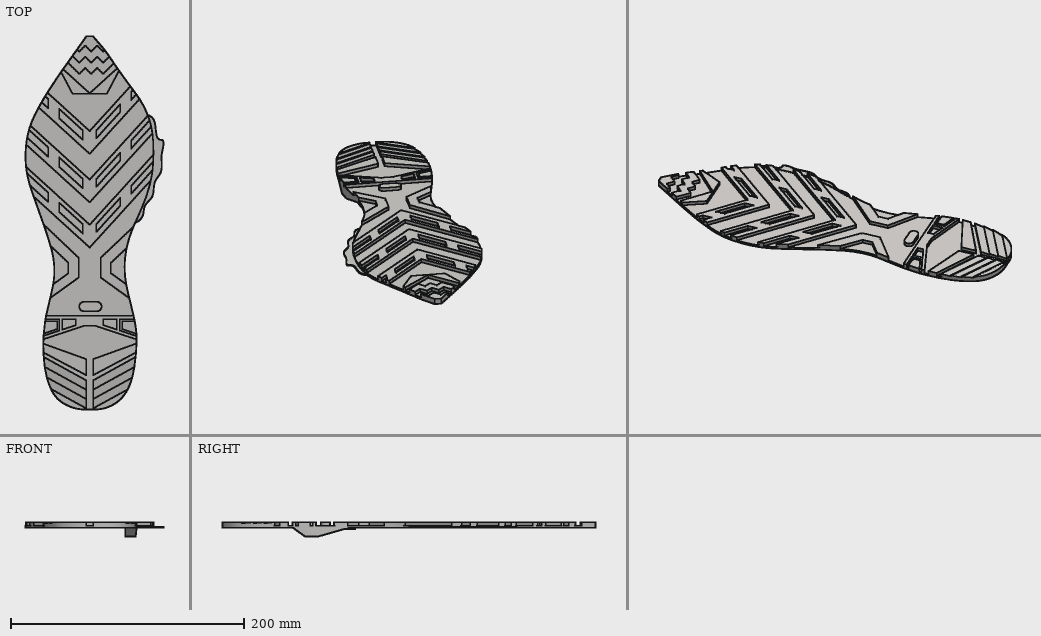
import cadquery as cq


LENGTH = 320.0
OVERALL_HEIGHT = 12.5
PLATE_THICKNESS = 2.0
TREAD_HEIGHT = 3.05
FLAP_THICKNESS = 1.0
SOLE_HEIGHT = PLATE_THICKNESS + TREAD_HEIGHT
FIN_DEPTH = OVERALL_HEIGHT - SOLE_HEIGHT
BEYOND = 64.0
SIDES = (-1, 1)

LEFT_EDGE = [
    (-3.0, LENGTH), (-13.0, 305.2), (-27.5, 285.0), (-42.2, 261.7), (-51.8, 240.5), (-55.0, 220.8), (-54.0, 203.8),
    (-46.5, 178.0), (-36.0, 148.8), (-30.7, 126.5), (-30.7, 111.3), (-35.8, 88.0), (-39.7, 62.0),
    (-39.7, 47.7), (-35.8, 24.3), (-28.0, 10.0), (-16.3, 2.2), (-6.5, 0.0),
]
RIGHT_EDGE = [
    (6.5, 0.0), (16.3, 2.2), (27.5, 10.0), (35.5, 24.3), (39.7, 47.7), (40.3, 62.0), (35.8, 88.0), (30.7, 111.3),
    (30.0, 126.5), (34.5, 148.8), (46.7, 178.0), (53.7, 203.8), (54.7, 220.8), (53.0, 240.5), (45.5, 261.7),
    (28.8, 285.0), (15.0, 305.2), (3.0, LENGTH),
]

FLAP_EDGE = [
    (51.0, 252.0), (56.0, 245.5), (57.3, 235.8), (60.0, 231.3), (62.5, 231.0), (63.5, 228.0), (62.7, 223.3),
    (61.7, 218.2), (61.7, 206.5), (60.5, 202.2), (56.3, 195.8), (53.5, 182.0), (47.5, 174.5), (45.8, 166.7),
    (42.0, 161.5), (38.5, 160.0),
]
FLAP_ROOT_X = 32.0

FIN_INNER_X = 30.5
FIN_LIP = 1.0
FIN_OUTLINE = [
    (116.0, PLATE_THICKNESS), (116.0, -FIN_LIP), (105.0, -FIN_LIP), (82.0, -FIN_DEPTH),
    (71.0, -FIN_DEPTH), (60.5, 0.0), (60.5, PLATE_THICKNESS),
]

ZIGZAG_CENTRE_X = 1.3
ZIGZAG_PITCH = 10.2
ZIGZAG_RISE = 5.0
ZIGZAG_SPACING = 9.5
TOE_LINE_Y = 306.8
TOE_PAD_REAR_Y = 270.7
TOE_PAD_REAR_HALF = 14.7
TOE_PAD_SIDE_SLOPE = 1.9
TOE_V_SLOPE = 0.92
TOE_V_BRIDGE = 0.3

CHEVRON_APEXES = (238.7, 197.0, 158.5)
CHEVRON_WIDTH = 19.5
CHEVRON_SLOPES = {-1: 0.91, 1: 1.1}
WINDOW_DROPS = {-1: 4.8, 1: 5.8}
WINDOW_WIDTHS = {-1: 8.0, 1: 6.7}
INNER_WINDOW = (5.8, 26.2)
OUTER_WINDOW_START = 35.5

WAIST_BAND = (9.3, 130.0, 113.3)
WAIST_TRIANGLE = (18.2, 125.7, 116.8)
WAIST_TOE_SLOPE = 0.95
WAIST_HEEL_SLOPE = 0.72

BOSS_LENGTH = 19.2
BOSS_WIDTH = 8.0
BOSS_CENTRE = (0.5, 88.3)

HEEL_BAND_FRONT_Y = 80.3
HEEL_BAND_REAR_Y = 71.7
HEEL_BAND_FLAT_HALF = 5.0
HEEL_BAND_SLOPE = 0.33
HEEL_BAND_RIM = 3.0
HEEL_WINDOW = (11.8, 23.5)
HEEL_OPENING_START = 26.0
ISLAND_GAP = 2.0

CHANNEL_HALF = 3.0
PAD_FRONT = (43.2, 0.36)
PAD_REAR = (29.5, 0.53)
STRIP_SLOPE = 0.55
STRIP_FRONT_Y = 25.0
STRIP_PITCH = 8.0
STRIP_COUNT = 3
STRIP_DROP = 1.0


def polygon_block(points):
    return cq.Workplane("XY").polyline(points).close().extrude(SOLE_HEIGHT)


def arm_block(side, x_range, front, rear):
    """Block on one side of the spine between two slanted lines, each given as (y at x = 0, slope)."""
    near, far = x_range
    points = [
        (side * near, front[0] + front[1] * near),
        (side * far, front[0] + front[1] * far),
        (side * far, rear[0] + rear[1] * far),
        (side * near, rear[0] + rear[1] * near),
    ]
    return polygon_block(points)


def sole_block(bottom=0.0, top=SOLE_HEIGHT):
    return (
        cq.Workplane("XY")
        .workplane(offset=bottom)
        .moveTo(*LEFT_EDGE[0])
        .spline(LEFT_EDGE[1:], includeCurrent=True)
        .lineTo(*RIGHT_EDGE[0])
        .spline(RIGHT_EDGE[1:], includeCurrent=True)
        .close()
        .extrude(top - bottom)
    )


def zigzag(row):
    """Points of one zigzag line, running on beyond the outline at both ends."""
    valley_y = TOE_LINE_Y - row * ZIGZAG_SPACING
    points = []
    for step in range(-2, 3):
        lift = ZIGZAG_RISE * (step % 2)
        points.append((ZIGZAG_CENTRE_X + step * ZIGZAG_PITCH / 2, valley_y + lift))
    reach = BEYOND - ZIGZAG_PITCH
    run_up = reach * 2 * ZIGZAG_RISE / ZIGZAG_PITCH
    start = (points[0][0] - reach, valley_y + run_up)
    end = (points[-1][0] + reach, valley_y + run_up)
    return [start] + points + [end]


def toe_pads():
    far_y = TOE_LINE_Y + BEYOND
    tip = polygon_block(zigzag(0) + [(BEYOND, far_y), (-BEYOND, far_y)])
    stepped_strip = polygon_block(zigzag(1) + zigzag(2)[::-1])

    corner_x = TOE_PAD_SIDE_SLOPE * TOE_PAD_REAR_HALF / (TOE_PAD_SIDE_SLOPE - TOE_V_SLOPE)
    corner_y = TOE_PAD_REAR_Y + TOE_V_SLOPE * corner_x
    v_pad = polygon_block([
        (0, TOE_PAD_REAR_Y + TOE_V_BRIDGE),
        (corner_x, corner_y),
        (TOE_PAD_REAR_HALF, TOE_PAD_REAR_Y),
        (-TOE_PAD_REAR_HALF, TOE_PAD_REAR_Y),
        (-corner_x, corner_y),
    ])
    return [tip, stepped_strip, v_pad]


def chevron_arm(side, apex_y):
    slope = CHEVRON_SLOPES[side]
    arm = arm_block(side, (0, BEYOND), (apex_y, slope), (apex_y - CHEVRON_WIDTH, slope))
    window_front = apex_y - WINDOW_DROPS[side]
    window_rear = window_front - WINDOW_WIDTHS[side]
    for x_range in (INNER_WINDOW, (OUTER_WINDOW_START, BEYOND)):
        arm = arm.cut(arm_block(side, x_range, (window_front, slope), (window_rear, slope)))
    return arm


def waist_wedge(side, corner):
    """Wedge opening outwards from an upright stretch at x."""
    x, front_y, rear_y = corner
    front = (front_y - WAIST_TOE_SLOPE * x, WAIST_TOE_SLOPE)
    rear = (rear_y + WAIST_HEEL_SLOPE * x, -WAIST_HEEL_SLOPE)
    return arm_block(side, (x, BEYOND), front, rear)


def waist_band(side):
    return waist_wedge(side, WAIST_BAND).cut(waist_wedge(side, WAIST_TRIANGLE))


def boss():
    return cq.Workplane("XY").center(*BOSS_CENTRE).slot2D(BOSS_LENGTH, BOSS_WIDTH).extrude(SOLE_HEIGHT)


def heel_band():
    apex_y = HEEL_BAND_REAR_Y + HEEL_BAND_SLOPE * HEEL_BAND_FLAT_HALF
    rear = (apex_y, -HEEL_BAND_SLOPE)
    window_front = (HEEL_BAND_FRONT_Y - HEEL_BAND_RIM, 0)
    window_rear = (apex_y + HEEL_BAND_RIM, -HEEL_BAND_SLOPE)
    island_front = (window_front[0] - ISLAND_GAP, 0)
    island_rear = (window_rear[0] + ISLAND_GAP, -HEEL_BAND_SLOPE)

    band = polygon_block([
        (-HEEL_BAND_FLAT_HALF, HEEL_BAND_REAR_Y),
        (HEEL_BAND_FLAT_HALF, HEEL_BAND_REAR_Y),
        (HEEL_BAND_FLAT_HALF, HEEL_BAND_FRONT_Y),
        (-HEEL_BAND_FLAT_HALF, HEEL_BAND_FRONT_Y),
    ])
    for side in SIDES:
        band = band.union(arm_block(side, (HEEL_BAND_FLAT_HALF, BEYOND), (HEEL_BAND_FRONT_Y, 0), rear))
        for x_range in (HEEL_WINDOW, (HEEL_OPENING_START, BEYOND)):
            band = band.cut(arm_block(side, x_range, window_front, window_rear))
        island_range = (HEEL_OPENING_START + ISLAND_GAP, BEYOND)
        band = band.union(arm_block(side, island_range, island_front, island_rear))
    return band


def heel_front_pad(side):
    lines = [(y - slope * CHANNEL_HALF, slope) for y, slope in (PAD_FRONT, PAD_REAR)]
    return arm_block(side, (CHANNEL_HALF, BEYOND), *lines)


def heel_strips(side):
    """Sawtooth pad: each strip slopes down towards the heel end and meets the full height of the next."""
    tail_y = STRIP_FRONT_Y - STRIP_COUNT * STRIP_PITCH
    profile = [(tail_y - BEYOND, 0), (STRIP_FRONT_Y, 0)]
    for tooth in range(STRIP_COUNT):
        front_y = STRIP_FRONT_Y - tooth * STRIP_PITCH
        profile.append((front_y, SOLE_HEIGHT))
        profile.append((front_y - STRIP_PITCH, SOLE_HEIGHT - STRIP_DROP))
    profile += [(tail_y, SOLE_HEIGHT), (tail_y - BEYOND, SOLE_HEIGHT)]
    along = cq.Vector(side, STRIP_SLOPE, 0) * BEYOND
    face = cq.Face.makeFromWires(
        cq.Wire.makePolygon([cq.Vector(side * CHANNEL_HALF, y, z) for y, z in profile], close=True)
    )
    return cq.Workplane(cq.Solid.extrudeLinear(face, along))


def flap():
    return (
        cq.Workplane("XY")
        .moveTo(*FLAP_EDGE[0])
        .spline(FLAP_EDGE[1:], includeCurrent=True)
        .lineTo(FLAP_ROOT_X, FLAP_EDGE[-1][1])
        .lineTo(FLAP_ROOT_X, FLAP_EDGE[0][1])
        .close()
        .extrude(FLAP_THICKNESS)
    )


def fin():
    blade = (
        cq.Workplane("YZ")
        .workplane(offset=FIN_INNER_X)
        .polyline(FIN_OUTLINE)
        .close()
        .extrude(BEYOND)
    )
    return blade.intersect(sole_block(-FIN_DEPTH, PLATE_THICKNESS))


treads = toe_pads() + [boss(), heel_band()]
for side in SIDES:
    treads += [chevron_arm(side, apex_y) for apex_y in CHEVRON_APEXES]
    treads += [waist_band(side), heel_front_pad(side), heel_strips(side)]

pattern = cq.Workplane("XY").box(2 * BEYOND, 3 * LENGTH, PLATE_THICKNESS, centered=(True, True, False))
for tread in treads:
    pattern = pattern.union(tread)

result = sole_block().intersect(pattern).union(flap()).union(fin())